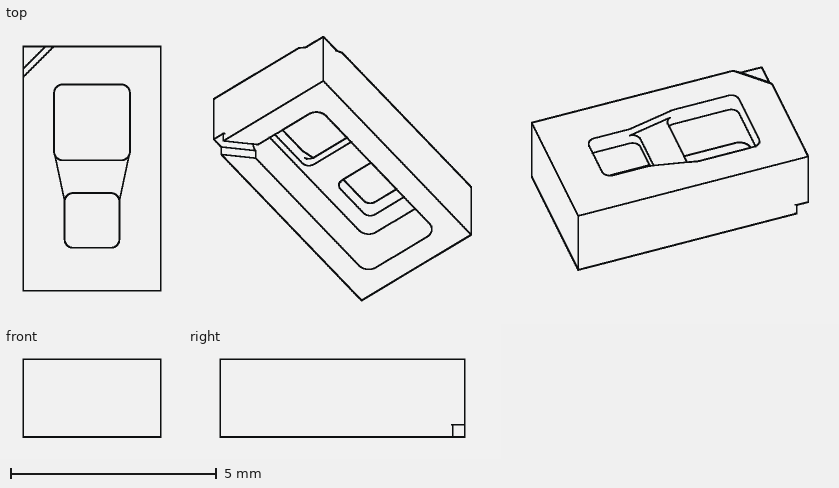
import cadquery as cq
import math

width = 3.35
length = 5.95
height = 1.9

large_window = 1.84
large_window_y = 1.125
small_window = 1.325
small_window_y = -1.26
window_radius = 0.2
channel_depth = 0.225

wall = 0.6
roof = 0.5
cavity_radius = 0.3

vent_height = 0.3
vent_width = cavity_radius * math.sqrt(2)

notch_top_leg = 0.75
notch_floor_leg = 0.55
notch_depth = 0.135


def window(size, center_y):
    """Square through opening with rounded corners."""
    return (
        cq.Workplane("XY")
        .center(0, center_y)
        .rect(size, size)
        .extrude(height)
        .edges("|Z")
        .fillet(window_radius)
    )


def channel():
    """Tapered recess running between the straight sides of the windows."""
    large_end_y = large_window_y - large_window / 2 + window_radius
    small_end_y = small_window_y + small_window / 2 - window_radius
    return (
        cq.Workplane("XY", origin=(0, 0, height - channel_depth))
        .moveTo(-large_window / 2, large_end_y)
        .lineTo(large_window / 2, large_end_y)
        .lineTo(small_window / 2, small_end_y)
        .lineTo(-small_window / 2, small_end_y)
        .close()
        .extrude(channel_depth)
    )


def cavity():
    """Rounded rectangular chamber below the roof."""
    return (
        cq.Workplane("XY")
        .rect(width - 2 * wall, length - 2 * wall)
        .extrude(height - roof)
        .edges("|Z")
        .fillet(cavity_radius)
    )


def corner_vent():
    """Slot at 45 degrees whose sides meet the ends of the cavity's corner arc."""
    arc_center_x = width / 2 - wall - cavity_radius
    arc_center_y = length / 2 - wall - cavity_radius
    reach = math.hypot(width / 2 - arc_center_x, length / 2 - arc_center_y) + vent_width / 2
    return (
        cq.Workplane("XY")
        .rect(reach, vent_width, centered=(False, True))
        .extrude(vent_height)
        .rotate((0, 0, 0), (0, 0, 1), 45)
        .translate((arc_center_x, arc_center_y, 0))
    )


def corner_triangle(leg, z):
    """Right triangle in the (-X, +Y) corner at the given height."""
    corner_x = -width / 2
    corner_y = length / 2
    return [
        cq.Vector(corner_x, corner_y, z),
        cq.Vector(corner_x, corner_y - leg, z),
        cq.Vector(corner_x + leg, corner_y, z),
    ]


def corner_notch():
    """Flat-floored notch whose diagonal wall slopes outward to the top."""
    floor = cq.Wire.makePolygon(corner_triangle(notch_floor_leg, height - notch_depth), close=True)
    rim = cq.Wire.makePolygon(corner_triangle(notch_top_leg, height), close=True)
    return cq.Workplane(cq.Solid.makeLoft([floor, rim], True))


block = cq.Workplane("XY").box(width, length, height, centered=(True, True, False))
result = (
    block
    .cut(window(large_window, large_window_y))
    .cut(window(small_window, small_window_y))
    .cut(channel())
    .cut(cavity())
    .cut(corner_vent())
    .cut(corner_notch())
)